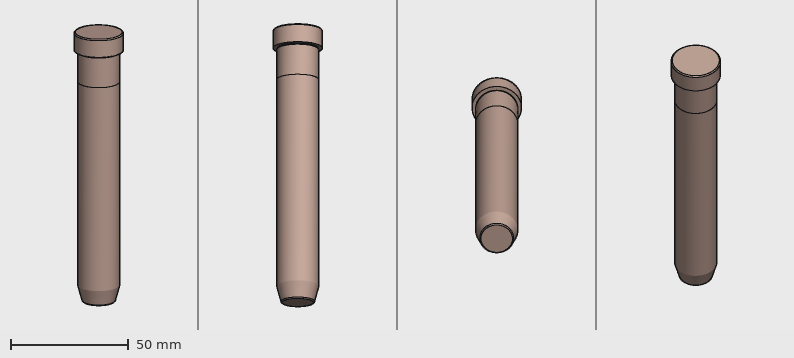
import cadquery as cq

total_length = 120.0
head_diameter = 21.0
shank_diameter = 18.0

head_height = 8.0
head_chamfer = 0.5

groove_width = 0.7
groove_depth = 0.34

upper_length = 22.0

tip_length = 7.2
tip_diameter = 14.4
tip_chamfer = 0.5

head_radius = head_diameter / 2
shank_radius = shank_diameter / 2
groove_radius = shank_radius - groove_depth
tip_radius = tip_diameter / 2
joint_z = total_length - upper_length
head_bottom_z = total_length - head_height


def make_headed_collar():
    """Chamfered head, relief groove and collar, revolved about Z."""
    outline = (
        cq.Workplane("XZ")
        .moveTo(0, joint_z)
        .lineTo(shank_radius, joint_z)
        .lineTo(shank_radius, head_bottom_z - groove_width)
        .lineTo(groove_radius, head_bottom_z - groove_width + groove_depth)
        .lineTo(groove_radius, head_bottom_z)
        .lineTo(head_radius, head_bottom_z)
        .lineTo(head_radius, total_length - head_chamfer)
        .lineTo(head_radius - head_chamfer, total_length)
        .lineTo(0, total_length)
        .close()
    )
    return outline.revolve(360, (0, 0, 0), (0, 1, 0))


def make_shank():
    """Straight shank with a tapered, chamfered tip, revolved about Z."""
    outline = (
        cq.Workplane("XZ")
        .lineTo(tip_radius - tip_chamfer, 0)
        .lineTo(tip_radius, tip_chamfer)
        .lineTo(shank_radius, tip_length)
        .lineTo(shank_radius, joint_z)
        .lineTo(0, joint_z)
        .close()
    )
    return outline.revolve(360, (0, 0, 0), (0, 1, 0))


headed_collar = make_headed_collar()
shank = make_shank()

result = cq.Compound.makeCompound([headed_collar.val(), shank.val()])